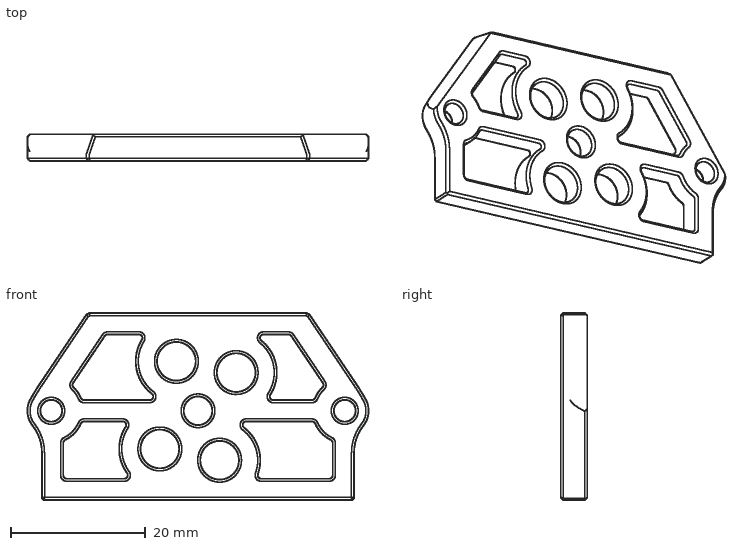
import cadquery as cq
import math

thickness = 4.0
front_y = -thickness / 2
back_y = thickness / 2
top_z = 14.5
bottom_z = -13.25
side_x = 23.15
edge_chamfer = 0.4
corner_chamfer = 0.28

ear_x = 21.75
ear_radius = 3.55
ear_blend_radius = 6.5

slope_angle = math.radians(56.1)
slope_offset = 3.64
slope_foot_z = 3.4

relief_depth = 3.0
relief_inset = 0.85

ear_hole_d = 3.2
middle_hole_d = 4.2
large_hole_d = 5.7
large_hole_ring = 8.0
upper_left_hole_angle = 113.6
upper_right_hole_angle = 45.0

wall = 3.2
window_fillet = 0.5

overshoot = 1.0


def front_sketch():
    return cq.Workplane("XZ", origin=(0, front_y, 0))


def through_plate(sketch):
    return sketch.extrude(-thickness)


def disc(x, z, radius):
    return through_plate(front_sketch().center(x, z).circle(radius))


def slope_x(z, inset=0.0):
    """Distance of a sloping side from the YZ plane at height z, moved inwards by inset."""
    return ear_x + (slope_offset - inset - z * math.cos(slope_angle)) / math.sin(slope_angle)


def ear_top_point():
    """Point of the right ear touched by the line from the foot of the slope."""
    foot_dx = slope_x(slope_foot_z) - ear_x
    foot_angle = math.atan2(slope_foot_z, foot_dx)
    touch_angle = foot_angle - math.acos(ear_radius / math.hypot(foot_dx, slope_foot_z))
    return ear_x + ear_radius * math.cos(touch_angle), ear_radius * math.sin(touch_angle)


def plate_outline():
    blend_x = side_x + ear_blend_radius
    centre_distance = ear_radius + ear_blend_radius
    blend_angle = math.acos((blend_x - ear_x) / centre_distance)
    blend_z = -centre_distance * math.sin(blend_angle)
    blend_mid_x = blend_x - ear_blend_radius * math.cos(blend_angle / 2)
    blend_mid_z = blend_z + ear_blend_radius * math.sin(blend_angle / 2)
    ear_low_x = ear_x + ear_radius * math.cos(blend_angle)
    ear_low_z = -ear_radius * math.sin(blend_angle)
    ear_top_x, ear_top_z = ear_top_point()
    foot_x = slope_x(slope_foot_z)
    top_x = slope_x(top_z)

    return (
        front_sketch()
        .moveTo(-side_x, bottom_z)
        .lineTo(side_x, bottom_z)
        .lineTo(side_x, blend_z)
        .threePointArc((blend_mid_x, blend_mid_z), (ear_low_x, ear_low_z))
        .threePointArc((ear_x + ear_radius, 0), (ear_top_x, ear_top_z))
        .lineTo(foot_x, slope_foot_z)
        .lineTo(top_x, top_z)
        .lineTo(-top_x, top_z)
        .lineTo(-foot_x, slope_foot_z)
        .lineTo(-ear_top_x, ear_top_z)
        .threePointArc((-ear_x - ear_radius, 0), (-ear_low_x, ear_low_z))
        .threePointArc((-blend_mid_x, blend_mid_z), (-side_x, blend_z))
        .close()
    )


def slope_relief():
    """Wedge cut from the back of the right sloping side, open towards the outside."""
    across_slope = cq.Plane(
        origin=(ear_x, 0, 0),
        xDir=(math.sin(slope_angle), 0, math.cos(slope_angle)),
        normal=(-math.cos(slope_angle), 0, math.sin(slope_angle)),
    )
    start_y = back_y - relief_depth
    end_y = back_y + overshoot
    end_offset = slope_offset - relief_inset * (end_y - start_y) / relief_depth
    outside = slope_offset + overshoot
    reach = top_z - bottom_z
    return (
        cq.Workplane(across_slope)
        .polyline([(slope_offset, start_y), (end_offset, end_y), (outside, end_y), (outside, start_y)])
        .close()
        .extrude(reach, both=True)
    )


def hole_center(angle):
    angle = math.radians(angle)
    return large_hole_ring * math.cos(angle), large_hole_ring * math.sin(angle)


def window(side, rim_points, hole):
    """Right-hand (side 1) or left-hand (side -1) window between a large hole and the outer rim.

    rim_points are the two corners along the rim, given for the right-hand side.
    """
    hole_x, hole_z = hole
    corners = [(side * x, z) for x, z in rim_points]
    inner_corners = [(hole_x, z) for x, z in reversed(rim_points)]
    opening = through_plate(front_sketch().polyline(corners + inner_corners).close())
    opening = opening.cut(disc(hole_x, hole_z, large_hole_d / 2 + wall))
    opening = opening.cut(disc(side * ear_x, 0, ear_hole_d / 2 + wall))
    return opening.edges("|Y").fillet(window_fillet)


def openings():
    upper_left = hole_center(upper_left_hole_angle)
    upper_right = hole_center(upper_right_hole_angle)
    lower_left = (-upper_right[0], -upper_right[1])
    lower_right = (-upper_left[0], -upper_left[1])

    holes = [disc(0, 0, middle_hole_d / 2)]
    for side in (-1, 1):
        holes.append(disc(side * ear_x, 0, ear_hole_d / 2))
    for center in (upper_left, upper_right, lower_left, lower_right):
        holes.append(disc(*center, large_hole_d / 2))

    upper_inset = wall + relief_inset
    upper_rim = [(slope_x(z, upper_inset), z) for z in (wall / 2, top_z - wall)]
    lower_rim = [(side_x - wall, z) for z in (bottom_z + wall, -wall / 2)]
    windows = [
        window(-1, upper_rim, upper_left),
        window(1, upper_rim, upper_right),
        window(-1, lower_rim, lower_left),
        window(1, lower_rim, lower_right),
    ]
    return holes + windows


def plate():
    body = through_plate(plate_outline())
    for opening in openings():
        body = body.cut(opening)
    body = body.faces(">Y").chamfer(edge_chamfer)

    relief = slope_relief()
    body = body.cut(relief).cut(relief.mirror("YZ"))

    body = body.faces("<Z").edges("|Y").chamfer(corner_chamfer)
    body = body.faces(">Z").edges("not |X").chamfer(corner_chamfer)
    return body.faces("<Y").chamfer(edge_chamfer)


result = plate()